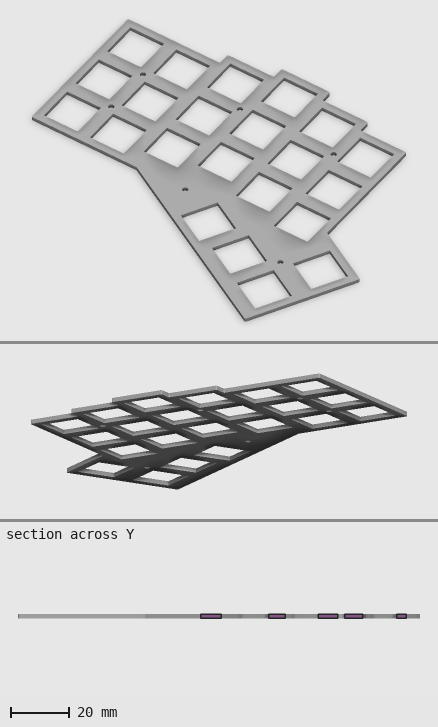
import cadquery as cq
import math

THICKNESS = 1.5
MARGIN = 10.0
CORNER_RADIUS = 0.5

PITCH = 19.0
CUTOUT = 14.0
ROWS = 3
STAGGER = 4.75
COLUMN_LIFTS = [0, 0, STAGGER, 2 * STAGGER, STAGGER, 0]

THUMB_TILT = 29.0
THUMB_X = 102.99
THUMB_Y = -34.43
THUMB_OFFSET = STAGGER / 2
THUMB_KEYS = [
    (-2 * PITCH, -THUMB_OFFSET),
    (-PITCH, 0),
    (0, 0),
    (0, PITCH + THUMB_OFFSET),
]

HOLE_DIAMETER = 2.1
LEFT_HOLES_X = PITCH / 2
LEFT_HOLES_Y = [PITCH / 2, 1.5 * PITCH]
UPPER_HOLES_X = [46.3, 85.1]
UPPER_HOLES_Y = 1.5 * PITCH + STAGGER
THUMB_HOLES = [(53.2, -9.6), (100.0, -20.45)]
HOLE_CENTRES = (
    [(LEFT_HOLES_X, y) for y in LEFT_HOLES_Y]
    + [(x, UPPER_HOLES_Y) for x in UPPER_HOLES_X]
    + THUMB_HOLES
)


def from_thumb(u, v):
    """Plate coordinates of a point given in the tilted frame of the thumb cluster."""
    tilt = math.radians(THUMB_TILT)
    x = THUMB_X + u * math.cos(tilt) + v * math.sin(tilt)
    y = THUMB_Y - u * math.sin(tilt) + v * math.cos(tilt)
    return x, y


def outline_points():
    """Corners of the plate, clockwise from the lower left."""
    left = -MARGIN
    bottom = -MARGIN
    right = (len(COLUMN_LIFTS) - 1) * PITCH + MARGIN
    top = (ROWS - 1) * PITCH + MARGIN
    peak_column = COLUMN_LIFTS.index(2 * STAGGER)
    outer_tier = ((peak_column - 1) * PITCH - MARGIN, (peak_column + 1) * PITCH + MARGIN)
    peak_tier = (peak_column * PITCH - MARGIN, peak_column * PITCH + MARGIN)

    thumb_bottom = -THUMB_OFFSET - MARGIN
    thumb_top = PITCH + THUMB_OFFSET + MARGIN
    tip = from_thumb(MARGIN, thumb_top)
    heel = from_thumb(MARGIN, thumb_bottom)
    slope = math.tan(math.radians(THUMB_TILT))

    return [
        (left, bottom),
        (left, top),
        (outer_tier[0], top),
        (outer_tier[0], top + STAGGER),
        (peak_tier[0], top + STAGGER),
        (peak_tier[0], top + 2 * STAGGER),
        (peak_tier[1], top + 2 * STAGGER),
        (peak_tier[1], top + STAGGER),
        (outer_tier[1], top + STAGGER),
        (outer_tier[1], top),
        (right, top),
        (right, tip[1] + (tip[0] - right) * slope),
        tip,
        heel,
        (heel[0] - (bottom - heel[1]) / slope, bottom),
    ]


def make_plate():
    plate = cq.Workplane("XY").polyline(outline_points()).close().extrude(THICKNESS)
    return plate.edges("|Z").fillet(CORNER_RADIUS)


def key_cutters(centres, tilt=0):
    """Square prisms for the key cutouts, each turned clockwise by tilt degrees."""
    sketch = cq.Sketch().push(centres).rect(CUTOUT, CUTOUT, angle=-tilt)
    return cq.Workplane("XY").placeSketch(sketch).extrude(THICKNESS)


def cut_keys(plate):
    finger_centres = [
        (column * PITCH, row * PITCH + lift)
        for column, lift in enumerate(COLUMN_LIFTS)
        for row in range(ROWS)
    ]
    thumb_centres = [from_thumb(u, v) for u, v in THUMB_KEYS]
    plate = plate.cut(key_cutters(finger_centres))
    return plate.cut(key_cutters(thumb_centres, THUMB_TILT))


def drill_holes(plate):
    return plate.faces(">Z").workplane(origin=(0, 0, 0)).pushPoints(HOLE_CENTRES).hole(HOLE_DIAMETER)


result = drill_holes(cut_keys(make_plate()))